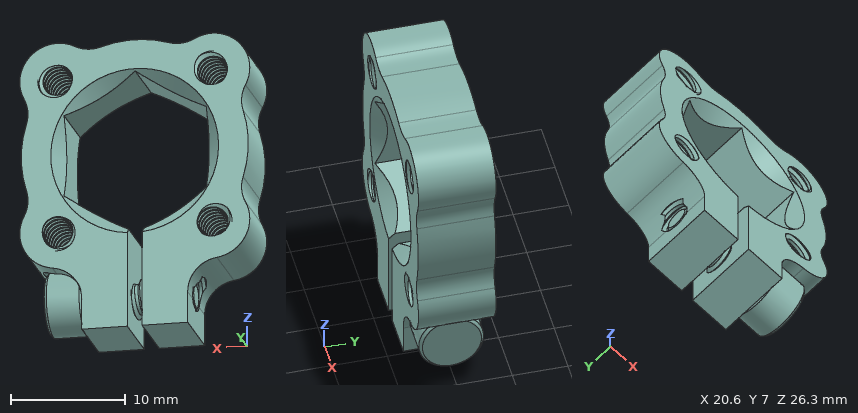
import cadquery as cq
import math


height = 26.3
thickness = 7.0
hub_radius = 10.15
lobe_offset = 6.91
lobe_radius = 3.37
valley_radius = 3.0
top_z = lobe_offset + lobe_radius
bottom_z = top_z - height

hex_across_flats = 12.7
countersink_radius = 7.5
countersink_half_angle = 41.0

leg_half_width = 4.73
slot_width = 1.31

thread_pitch = 0.8
thread_minor_radius = 1.35
thread_depth = 0.42
thread_half_angle = 30.0
ridge_root_overlap = 0.05
thread_major_radius = thread_minor_radius + thread_depth

screw_z = bottom_z + 3.45
head_radius = 2.92
head_height = 3.55
head_outer_chamfer = 0.25
head_seat_chamfer = 0.37
tip_radius = 1.03
crest_x = 0.1
ridge_turns = 5.75
tap_runout_turns = 3
ridge_end_x = leg_half_width + head_height / 2


def point_toward(start, end, distance):
    """Point at a distance from start on the straight line toward end."""
    span = math.dist(start, end)
    return tuple(s + (e - s) * distance / span for s, e in zip(start, end))


def middle(start, end):
    """Point halfway between two points."""
    return tuple((s + e) / 2 for s, e in zip(start, end))


def turned(point, degrees):
    """Point turned anticlockwise about the hub centre."""
    angle = math.radians(degrees)
    x, z = point
    return (x * math.cos(angle) - z * math.sin(angle), x * math.sin(angle) + z * math.cos(angle))


def valley_centre():
    """Centre of the concave blend between the hub and the upper right lobe, on the upper side."""
    lobe_distance = lobe_offset * math.sqrt(2)
    hub_reach = hub_radius + valley_radius
    lobe_reach = lobe_radius + valley_radius
    cosine = (lobe_distance**2 + hub_reach**2 - lobe_reach**2) / (2 * lobe_distance * hub_reach)
    angle = math.radians(45) + math.acos(cosine)
    return (hub_reach * math.cos(angle), hub_reach * math.sin(angle))


def mirrored(point):
    """Point mirrored to the other side of the vertical centre line."""
    return (-point[0], point[1])


def clamp_outline():
    hub_centre = (0, 0)
    lobe_centre = (lobe_offset, lobe_offset)
    lobe_tip = point_toward(lobe_centre, hub_centre, -lobe_radius)

    valley = valley_centre()
    hub_end = point_toward(valley, hub_centre, valley_radius)
    lobe_start = point_toward(valley, lobe_centre, valley_radius)
    chord_middle = middle(hub_end, lobe_start)
    valley_middle = point_toward(valley, chord_middle, valley_radius)

    lower_lobe = turned(lobe_centre, -90)
    leg_blend_x = leg_half_width + valley_radius
    drop = math.sqrt((lobe_radius + valley_radius)**2 - (leg_blend_x - lobe_offset)**2)
    leg_blend = (leg_blend_x, -lobe_offset - drop)
    leg_blend_top = point_toward(leg_blend, lower_lobe, valley_radius)
    leg_blend_end = (leg_half_width, leg_blend[1])
    chord_middle = middle(leg_blend_top, leg_blend_end)
    leg_blend_middle = point_toward(leg_blend, chord_middle, valley_radius)

    outline = (
        cq.Workplane("XZ", origin=(0, thickness / 2, 0))
        .moveTo(-leg_half_width, bottom_z)
        .lineTo(*mirrored(leg_blend_end))
        .threePointArc(mirrored(leg_blend_middle), mirrored(leg_blend_top))
    )
    for turn in (90, 0, -90):
        outline = (
            outline
            .threePointArc(turned(mirrored(lobe_tip), turn), turned(mirrored(lobe_start), turn))
            .threePointArc(turned(mirrored(valley_middle), turn), turned(mirrored(hub_end), turn))
            .threePointArc(turned((0, hub_radius), turn), turned(hub_end, turn))
            .threePointArc(turned(valley_middle, turn), turned(lobe_start, turn))
        )
    return (
        outline
        .threePointArc(turned(lobe_tip, -90), leg_blend_top)
        .threePointArc(leg_blend_middle, leg_blend_end)
        .lineTo(leg_half_width, bottom_z)
        .close()
    )


def countersink(face_y, inward):
    """Cone from an end face of the bore; inward is +1 or -1 along Y."""
    cone_height = countersink_radius / math.tan(math.radians(countersink_half_angle))
    return cq.Workplane(cq.Solid.makeCone(
        countersink_radius, 0, cone_height, cq.Vector(0, face_y, 0), cq.Vector(0, inward, 0)
    ))


def hex_bore():
    """Through hexagon, with corners at top and bottom, plus a countersink at each end."""
    hexagon = (
        cq.Workplane("XZ", origin=(0, thickness / 2, 0))
        .polygon(6, hex_across_flats, circumscribed=True)
        .extrude(thickness)
    )
    front = countersink(-thickness / 2, 1)
    back = countersink(thickness / 2, -1)
    return hexagon.union(front).union(back)


def thread_ridge(length):
    """Right-hand V ridge around the core, starting on its +X side."""
    root_radius = thread_minor_radius - ridge_root_overlap
    half_root = (thread_depth + ridge_root_overlap) * math.tan(math.radians(thread_half_angle))
    helix = cq.Wire.makeHelix(thread_pitch, length, thread_minor_radius)
    return (
        cq.Workplane("XZ")
        .moveTo(root_radius, -half_root)
        .lineTo(thread_major_radius, 0)
        .lineTo(root_radius, half_root)
        .close()
        .sweep(cq.Workplane(helix), isFrenet=True)
    )


def threaded_rod(length):
    """Core and ridge in one, along +Z from the origin."""
    core = cq.Workplane("XY").circle(thread_minor_radius).extrude(length)
    return core.union(thread_ridge(length))


def tapped_hole_cutter():
    """Thread for the upper left hole, one turn longer than the clamp at each end."""
    return (
        threaded_rod(thickness + 2 * thread_pitch)
        .rotate((0, 0, 0), (1, 0, 0), -90)
        .translate((-lobe_offset, -thickness / 2 - thread_pitch, lobe_offset))
    )


def on_screw_axis(thread, start_x):
    """Lay a thread along +X on the screw axis, its ridge starting on the -Y side."""
    return (
        thread
        .rotate((0, 0, 0), (0, 0, 1), -90)
        .rotate((0, 0, 0), (0, 1, 0), 90)
        .translate((start_x, 0, screw_z))
    )


def screw_bore_cutter():
    """Thread that matches the screw, run on past the tip through the blend above the leg."""
    start_x = crest_x - (ridge_turns + tap_runout_turns) * thread_pitch
    return on_screw_axis(threaded_rod(ridge_end_x - start_x), start_x)


def head_recess():
    """Spot face that lets the head pass the lobe and sit flat on the leg."""
    return (
        cq.Workplane("YZ", origin=(leg_half_width, 0, screw_z))
        .circle(head_radius)
        .extrude(top_z - leg_half_width)
    )


def screw_tip(start_x):
    """Cone from the start of the core to the tip, which is flush with the side of the leg."""
    tip_length = start_x + leg_half_width
    return cq.Workplane(cq.Solid.makeCone(
        thread_minor_radius, tip_radius, tip_length, cq.Vector(start_x, 0, screw_z), cq.Vector(-1, 0, 0)
    ))


def screw_head():
    return (
        cq.Workplane("YZ", origin=(leg_half_width, 0, screw_z))
        .circle(head_radius)
        .extrude(head_height)
        .faces(">X").chamfer(head_outer_chamfer)
        .faces("<X").chamfer(head_seat_chamfer)
    )


def make_screw():
    start_x = crest_x - ridge_turns * thread_pitch
    rod = on_screw_axis(threaded_rod(ridge_end_x - start_x), start_x)
    return rod.union(screw_head()).union(screw_tip(start_x)).solids()


def make_clamp():
    clamp = clamp_outline().extrude(thickness).cut(hex_bore())
    slot = cq.Workplane("XY").box(slot_width, thickness, -bottom_z).translate((0, 0, bottom_z / 2))
    clamp = clamp.cut(slot)
    hole_cutter = tapped_hole_cutter()
    for turn in range(4):
        clamp = clamp.cut(hole_cutter.rotate((0, 0, 0), (0, 1, 0), 90 * turn))
    return clamp.cut(head_recess()).cut(screw_bore_cutter()).solids()


clamp = make_clamp()
screw = make_screw()
result = cq.Compound.makeCompound([clamp.val(), screw.val()])